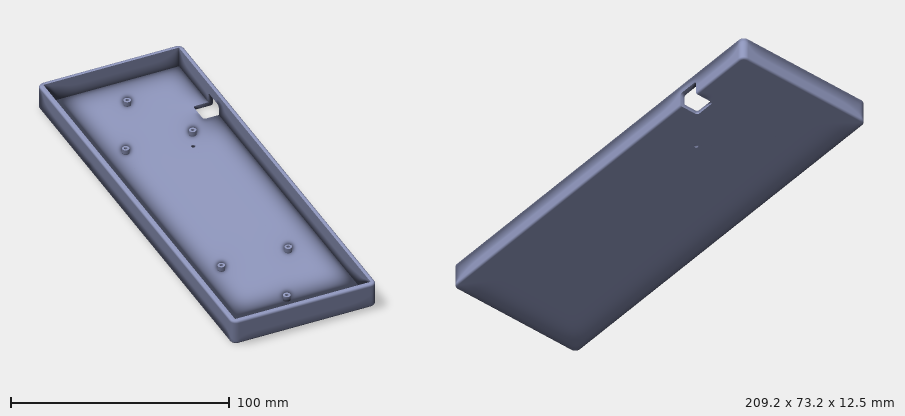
import cadquery as cq

length = 209.2
width = 73.2
height = 12.5
wall = 2.3
floor = 2.0
corner_radius = 3.1
edge_fillet = 1.0

post_diameter = 3.5
post_bore = 1.6
post_height = 2.5
inner_post_x = 51.0
outer_post_x = 85.1
post_y = 17.0

pinhole_diameter = 2.0
pinhole_x = -42.5
pinhole_y = 13.2

port_width = 11.0
port_x = -65.3
port_depth = 7.7
port_top = 7.3
port_radius = 1.3


def make_tray():
    body = (
        cq.Workplane("XY")
        .box(length, width, height, centered=(True, True, False))
        .edges("|Z")
        .fillet(corner_radius)
        .faces("<Z or >Z")
        .edges()
        .fillet(edge_fillet)
    )
    cavity = (
        cq.Workplane("XY")
        .workplane(offset=floor)
        .box(length - 2 * wall, width - 2 * wall, height, centered=(True, True, False))
    )
    return body.cut(cavity)


def make_posts():
    points = [(x, y) for x in (-inner_post_x, inner_post_x) for y in (-post_y, post_y)]
    points += [(-outer_post_x, 0), (outer_post_x, 0)]
    top = cq.Workplane("XY").workplane(offset=floor)
    posts = top.pushPoints(points).circle(post_diameter / 2).extrude(post_height)
    bores = top.pushPoints(points).circle(post_bore / 2).extrude(post_height)
    return posts.cut(bores)


def make_port():
    front_y = width / 2 - wall - port_depth
    cut_length = port_depth + 2 * wall
    return (
        cq.Workplane("XY")
        .box(port_width, cut_length, 2 * port_top)
        .edges("|Z and <Y")
        .fillet(port_radius)
        .edges("|Y and >Z")
        .fillet(port_radius)
        .translate((port_x, front_y + cut_length / 2, 0))
    )


def make_pinhole():
    return cq.Workplane("XY").center(pinhole_x, pinhole_y).circle(pinhole_diameter / 2).extrude(floor)


result = make_tray().union(make_posts()).cut(make_port()).cut(make_pinhole())